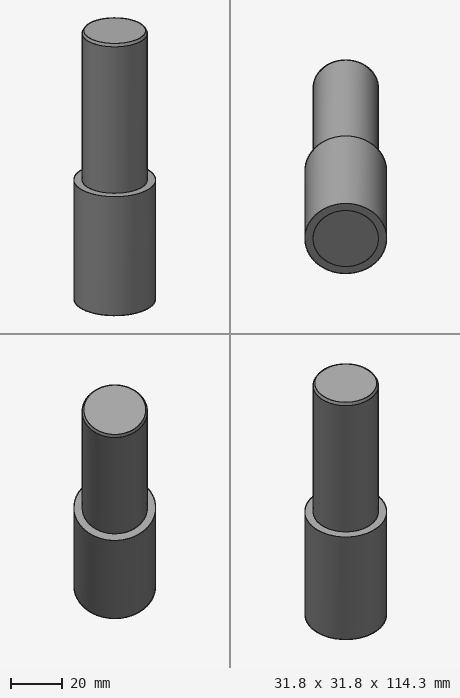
import cadquery as cq

total_length = 114.3
sleeve_length = 50.7
sleeve_diameter = 31.8
pin_diameter = 25.4
chamfer_height = 1.1
chamfer_width = 0.7


def make_sleeve():
    """Plain round sleeve with a through bore that fits the pin."""
    return (
        cq.Workplane("XY")
        .circle(sleeve_diameter / 2)
        .circle(pin_diameter / 2)
        .extrude(sleeve_length)
    )


def make_pin():
    """Round pin, flush with the sleeve at the bottom and chamfered at its free top end."""
    pin_radius = pin_diameter / 2
    half_profile = (
        cq.Workplane("XZ")
        .moveTo(0, 0)
        .lineTo(pin_radius, 0)
        .lineTo(pin_radius, total_length - chamfer_height)
        .lineTo(pin_radius - chamfer_width, total_length)
        .lineTo(0, total_length)
        .close()
    )
    return half_profile.revolve(360, (0, 0), (0, 1))


sleeve = make_sleeve()
pin = make_pin()

result = cq.Compound.makeCompound([sleeve.val(), pin.val()])